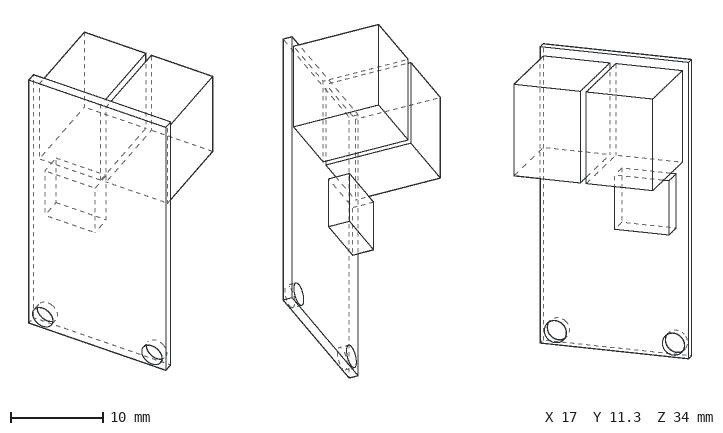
import cadquery as cq

board_width = 17.0
board_height = 34.0
board_thickness = 1.1
total_depth = 11.3

hole_diameter = 2.5
hole_side_inset = 1.75
hole_bottom_inset = 1.5

block_width = 7.6
block_height = 10.5
block_gap = 0.68
block_left_inset = 0.7
block_top_inset = 1.02
block_depth = total_depth - board_thickness
block_pitch = block_width + block_gap
block_count = 2

chip_side = 6.22
chip_depth = 2.5
chip_left_inset = block_left_inset + (block_width - chip_side) / 2
chip_top_inset = 12.92


def make_board():
    board = cq.Workplane("XY").box(board_width, board_thickness, board_height, centered=False)
    hole_places = [
        (hole_side_inset, hole_bottom_inset),
        (board_width - hole_side_inset, hole_bottom_inset),
    ]
    holes = (
        cq.Workplane("XZ")
        .pushPoints(hole_places)
        .circle(hole_diameter / 2)
        .extrude(-board_thickness)
    )
    return board.cut(holes)


def make_back_component(left, top_inset, width, depth, height):
    """Plain rectangular component seated on the back face of the board."""
    bottom = board_height - top_inset - height
    component = cq.Workplane("XY").box(width, depth, height, centered=False)
    return component.translate((left, board_thickness, bottom))


def make_block(index):
    left = block_left_inset + index * block_pitch
    return make_back_component(left, block_top_inset, block_width, block_depth, block_height)


def make_chip():
    return make_back_component(chip_left_inset, chip_top_inset, chip_side, chip_depth, chip_side)


board = make_board()
blocks = [make_block(index) for index in range(block_count)]
chip = make_chip()

result = cq.Compound.makeCompound(
    [board.val(), *[block.val() for block in blocks], chip.val()]
)